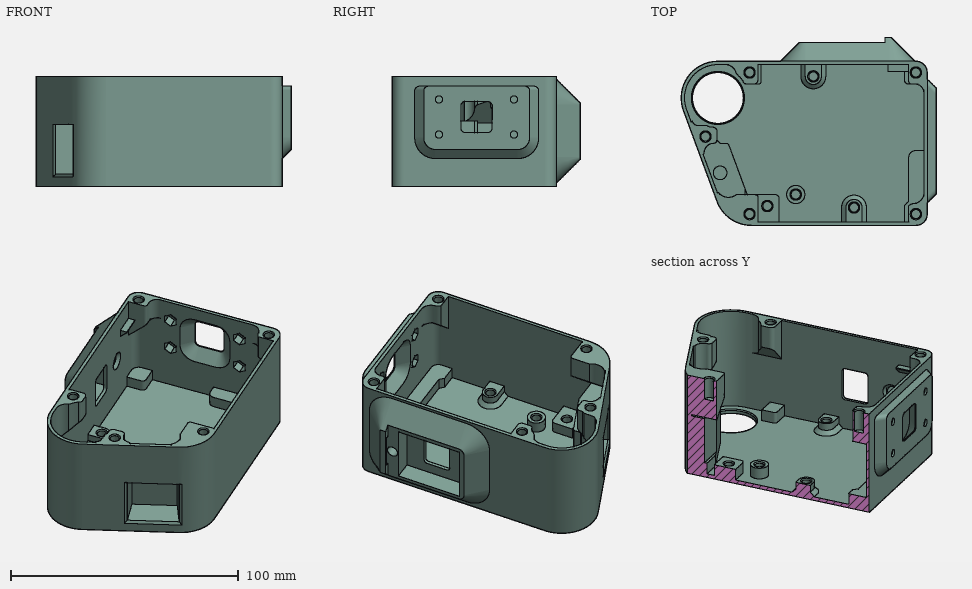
import cadquery as cq
import math

height = 48.4
wall = 1.5
floor = 2.0
opening_d = 22.3
opening_rim_d = 23.3
side_radius = 16.15
corner_radius = 5.0
right = 91.85
depth = 72.1
back = side_radius
front = back - depth
front_arc_x = 14.72
front_arc_y = front + side_radius
inner_radius = side_radius - wall
inner_right = right - wall
inner_back = back - wall
inner_front = front + wall

slant_length = math.hypot(front_arc_x, front_arc_y)
slant_x = front_arc_x / slant_length
slant_y = front_arc_y / slant_length
slant_plane = cq.Plane(origin=(0, 0, 0), xDir=(slant_x, slant_y, 0), normal=(0, 0, 1))

insert_d = 4.0
insert_mouth_d = 5.0
insert_depth = 10.0
lid_back_y = back - corner_radius
lid_front_y = front + corner_radius
lid_left_x = 13.88
lid_right_x = right - corner_radius
slant_lid_hole = (-5.46, -16.95)
lid_holes = [
    (lid_left_x, lid_back_y),
    (lid_right_x, lid_back_y),
    (lid_left_x, lid_front_y),
    (lid_right_x, lid_front_y),
    slant_lid_hole,
]

pad_thickness = 10.4
pad_left_edge = 17.6
pad_right_edge = 83.7
back_pad_y = 6.1
front_pad_y = -42.4
right_front_pad_y = -46.3
pad_round = 1.2
back_left_pad_round = 1.9
back_left_blend_x = 3.1
back_left_blend_middle = (6.5, 13.4)
back_left_blend_end = (8.0, 10.9)
back_left_nose_middle = (11.6, 6.4)
back_left_nose_x = 12.6
opening_clearance = 13.3
clearance_start = 50
clearance_end = 34
pad_blend = 3.85
front_right_corner_y = -47.3
front_right_nose_middle = (84.7, -46.65)
front_right_nose_x = 86.0
front_right_blend_middle = (89.1, -44.8)
front_right_blend_y = -41.9
front_left_blend_start = (8.1, front_pad_y)
front_left_blend_middle = (4.4, -43.6)
front_left_blend_end = (0.25, -41.5)
front_left_outer_x = -4.0
slant_pad_reach = 10.0
slant_pad_back_y = -12.06
slant_pad_tip_y = -12.8
slant_pad_x = -0.3
slant_pad_front_y = -19.9

support_height = 5.2
support_top = floor + support_height
post_d = 8.0
post_center = (34.15, -42.35)
boss_radius = 3.55
boss_flare = 1.9
back_boss_center = (41.86, 9.46)
front_boss_center = (59.7, -48.07)
block_hole = (21.7, -47.4)
block_half_width = 5.2
block_round = 1.8
foot_left_x = (12.0, 19.0)
foot_right_x = (81.8, right)
front_foot_y = -45.3
front_foot_bevel = 1.9
shelf_back_y = -23.1
shelf_round = 3.0

recess_bottom = 5.5
recess_top = 27.3
recess_depth = 12.0
recess_middle = 31.15
recess_mouth_width = 22.9
recess_back_width = 19.9
recess_bevel = 1.2
recess_bevel_depth = 0.8
housing_back = -2.65
housing_top = recess_top + wall
housing_bevel = 1.3
housing_outer_x = -side_radius
housing_back_corner_x = 4.2
housing_inner_corner_x = 4.9
housing_end_x = 11.8
housing_foot_x = 13.0
wire_hole_d = 6.0
wire_hole_across = -10.5

back_mount_x = (27.4, 86.5)
back_mount_z = (1.6, 47.1)
back_mount_radius = 11.2
back_mount_height = 10.4
back_mount_step = 2.15
back_mount_step_x = 73.2
slot_z = (16.5, 32.4)
slot_height = 1.1
slot_depth = 3.0
slot_round = 2.9
window_x = (47.0, 59.5)
window_z = (16.2, 31.4)
window_round = 1.4
plug_space_x = (38.0, 68.0)
plug_space_z = (11.4, 37.0)
back_screw = (70.9, 24.4)
back_screw_d = 5.0
back_screw_head_d = 8.0

right_mount_y = (-46.1, 8.3)
right_mount_z = (12.3, 44.2)
right_mount_radius = 9.1
right_mount_height = 4.0
right_mount_round = 2.0
socket_y = -19.0
socket_z = 30.55
socket_size = 23.7
socket_round = 7.0
socket_bevel = 5.0
nut_spacing_y = 32.9
nut_spacing_z = 15.4
nut_across_flats = 5.5
nut_depth = 4.5
nut_screw_d = 3.2

ledge_left = 74.6
ledge_reach = 3.1
ledge_top = 39.0
ledge_lip = 0.4


def span(limits):
    return limits[1] - limits[0]


def middle(limits):
    return (limits[0] + limits[1]) / 2


def block(x, y, z):
    """Box given by its limits along X, Y and Z."""
    return cq.Workplane().box(span(x), span(y), span(z)).translate((middle(x), middle(y), middle(z)))


def outline_prism(inset=0.0):
    """Full-height solid with the outer outline of the box, moved inwards by `inset`."""
    radius = side_radius - inset
    tangent_x = radius * slant_y
    tangent_y = -radius * slant_x
    turn = math.asin(slant_x)
    quarter = math.radians(90)
    back_mid = quarter + (quarter + turn) / 2
    front_mid = 2 * quarter + turn + (quarter - turn) / 2
    return (
        cq.Workplane()
        .moveTo(0, back - inset)
        .threePointArc((radius * math.cos(back_mid), radius * math.sin(back_mid)), (tangent_x, tangent_y))
        .lineTo(front_arc_x + tangent_x, front_arc_y + tangent_y)
        .threePointArc(
            (front_arc_x + radius * math.cos(front_mid), front_arc_y + radius * math.sin(front_mid)),
            (front_arc_x, front + inset),
        )
        .lineTo(right - inset, front + inset)
        .lineTo(right - inset, back - inset)
        .close()
        .extrude(height)
        .edges("|Z and >X")
        .fillet(corner_radius - inset)
    )


def gusset(plan, plane, reach, side):
    """Pad hanging from a wall: the plan extruded, above a 45 degree underside.

    `plane` has its local x along the wall and local y across it; the wall's
    inner face is at local y = side, and the pad reaches inwards from there.
    """
    inward = -math.copysign(1, side)
    tip = side + inward * reach
    end = tip + inward * right
    root = side - inward * wall
    tip_z = height - pad_thickness
    section = cq.Plane(origin=plane.origin, xDir=plane.yDir, normal=plane.xDir)
    kept = (
        cq.Workplane(section)
        .polyline([(end, height), (end, tip_z), (tip, tip_z), (root, tip_z - reach - wall), (root, height)])
        .close()
        .extrude(2 * right, both=True)
    )
    return plan.extrude(height).intersect(kept)


def around_opening(angle):
    """Point on the edge that the back-left pad keeps clear of the large opening."""
    turn = math.radians(angle)
    return (opening_clearance * math.cos(turn), opening_clearance * math.sin(turn))


def back_left_pad():
    plan = (
        cq.Workplane()
        .moveTo(back_left_blend_x, back)
        .lineTo(back_left_blend_x, inner_back)
        .threePointArc(back_left_blend_middle, back_left_blend_end)
        .lineTo(*around_opening(clearance_start))
        .threePointArc(
            around_opening((clearance_start + clearance_end) / 2), around_opening(clearance_end)
        )
        .threePointArc(back_left_nose_middle, (back_left_nose_x, back_pad_y))
        .lineTo(pad_left_edge - back_left_pad_round, back_pad_y)
        .radiusArc((pad_left_edge, back_pad_y + back_left_pad_round), -back_left_pad_round)
        .lineTo(pad_left_edge, back)
        .close()
    )
    return gusset(plan, cq.Plane.XY(), inner_back - back_pad_y, inner_back)


def back_right_pad():
    plan = (
        cq.Workplane()
        .moveTo(pad_right_edge, back)
        .lineTo(pad_right_edge, back_pad_y + pad_round)
        .radiusArc((pad_right_edge + pad_round, back_pad_y), -pad_round)
        .lineTo(inner_right - pad_blend, back_pad_y)
        .radiusArc((inner_right, back_pad_y - pad_blend), pad_blend)
        .lineTo(right, back_pad_y - pad_blend)
        .lineTo(right, back)
        .close()
    )
    return gusset(plan, cq.Plane.XY(), inner_back - back_pad_y, inner_back)


def front_right_pad():
    plan = (
        cq.Workplane()
        .moveTo(pad_right_edge, front)
        .lineTo(pad_right_edge, front_right_corner_y)
        .threePointArc(front_right_nose_middle, (front_right_nose_x, right_front_pad_y))
        .threePointArc(front_right_blend_middle, (inner_right, front_right_blend_y))
        .lineTo(right, front_right_blend_y)
        .lineTo(right, front)
        .close()
    )
    return gusset(plan, cq.Plane.XY(), right_front_pad_y - inner_front, inner_front)


def front_left_pad():
    plan = (
        cq.Workplane()
        .moveTo(pad_left_edge, front)
        .lineTo(pad_left_edge, front_pad_y - pad_round)
        .radiusArc((pad_left_edge - pad_round, front_pad_y), -pad_round)
        .lineTo(*front_left_blend_start)
        .threePointArc(front_left_blend_middle, front_left_blend_end)
        .lineTo(front_left_outer_x, front_pad_y)
        .lineTo(front_left_outer_x, front)
        .close()
    )
    return gusset(plan, cq.Plane.XY(), front_pad_y - inner_front, inner_front)


def slant_pad():
    back_blend_start = (-11.2, -10.2)
    back_blend_middle = (-10.4, -11.5)
    back_blend_end = (-8.9, slant_pad_back_y)
    step_start = (-4.9, slant_pad_back_y)
    step_end = (-3.6, slant_pad_tip_y)
    rounding_x = -2.2
    corner_middle_x = -0.9
    back_corner_middle = (corner_middle_x, -13.4)
    back_corner_end = (slant_pad_x, -14.7)
    front_corner_start = (slant_pad_x, -18.6)
    front_corner_middle = (corner_middle_x, -19.5)
    front_blend_middle = (-4.9, -21.2)
    front_blend_end = (-6.0, -24.2)
    front_wall_point = (-7.5, -26.5)
    back_wall_point = (-13.0, -11.5)
    plan = (
        cq.Workplane()
        .moveTo(*back_blend_start)
        .threePointArc(back_blend_middle, back_blend_end)
        .lineTo(*step_start)
        .lineTo(*step_end)
        .lineTo(rounding_x, slant_pad_tip_y)
        .threePointArc(back_corner_middle, back_corner_end)
        .lineTo(*front_corner_start)
        .threePointArc(front_corner_middle, (rounding_x, slant_pad_front_y))
        .threePointArc(front_blend_middle, front_blend_end)
        .lineTo(*front_wall_point)
        .lineTo(*back_wall_point)
        .close()
    )
    return gusset(plan, slant_plane, slant_pad_reach, -inner_radius)


def wall_boss(center, wall_y):
    """Standoff joined to a wall, flaring out at 45 degrees where it meets the floor."""
    x, y = center
    into_wall = wall_y - y + math.copysign(boss_flare, wall_y - y)
    side = math.copysign(1, into_wall)

    def layer(radius, rise, draft):
        return (
            cq.Workplane(origin=(x, y, floor))
            .moveTo(-radius, 0)
            .threePointArc((0, -side * radius), (radius, 0))
            .lineTo(radius, into_wall)
            .lineTo(-radius, into_wall)
            .close()
            .extrude(rise, taper=draft)
        )

    return layer(boss_radius, support_height, 0).union(layer(boss_radius + boss_flare, boss_flare, 45))


def floor_supports():
    block_left = block_hole[0] - block_half_width
    block_right = block_hole[0] + block_half_width
    screw_block = block((block_left, block_right), (front, front_pad_y), (0, support_top))
    screw_block = screw_block.edges("|Z and >X and >Y").fillet(block_round)
    back_left = block(foot_left_x, (back_pad_y, back), (0, support_top))
    back_left = back_left.edges("|Z and >X and <Y").fillet(pad_round)
    back_right = block(foot_right_x, (back_pad_y, back), (0, support_top))
    back_right = back_right.edges("|Z and <X and <Y").fillet(block_round)
    front_right = block(foot_right_x, (front, front_foot_y), (0, support_top))
    front_right = front_right.edges("|Z and <X and >Y").chamfer(front_foot_bevel)
    shelf = block((pad_right_edge, right), (front, shelf_back_y), (0, support_top))
    shelf = shelf.edges("|Z and <X and >Y").fillet(shelf_round)
    post = cq.Workplane().center(*post_center).circle(post_d / 2).extrude(support_top)
    supports = screw_block
    for part in (back_left, back_right, front_right, shelf, post):
        supports = supports.union(part)
    supports = supports.union(wall_boss(back_boss_center, back))
    return supports.union(wall_boss(front_boss_center, front))


def switch_housing():
    """Solid block behind the slanted wall that the switch recess is cut into."""
    def behind_wall(x):
        """Y of the housing's inner face at the given X."""
        return (housing_back + slant_y * x) / slant_x

    plan = [
        (housing_outer_x, slant_pad_front_y + housing_bevel),
        (slant_pad_x, slant_pad_front_y + housing_bevel),
        (slant_pad_x + housing_bevel, slant_pad_front_y),
        (housing_back_corner_x, slant_pad_front_y),
        (housing_inner_corner_x, behind_wall(housing_inner_corner_x)),
        (housing_end_x, behind_wall(housing_end_x)),
        (housing_end_x, front),
        (housing_outer_x, front),
    ]
    housing = cq.Workplane().polyline(plan).close().extrude(housing_top)
    foot_plan = [
        (housing_end_x, behind_wall(housing_end_x)),
        (housing_foot_x, behind_wall(housing_foot_x)),
        (housing_foot_x, front),
        (housing_end_x, front),
    ]
    foot = cq.Workplane().polyline(foot_plan).close().extrude(support_top)
    return housing.union(foot)


def wedge_ledge():
    tip = inner_back - ledge_reach
    root = ledge_top - ledge_lip - ledge_reach
    return (
        cq.Workplane("YZ", origin=(ledge_left, 0, 0))
        .polyline([
            (inner_back + wall / 2, ledge_top),
            (tip, ledge_top),
            (tip, ledge_top - ledge_lip),
            (inner_back, root),
            (inner_back + wall / 2, root),
        ])
        .close()
        .extrude(pad_right_edge - ledge_left)
    )


def rounded_rectangle(plane, size_x, size_y, radius):
    sketch = cq.Sketch().rect(size_x, size_y).vertices().fillet(radius)
    return cq.Workplane(plane).placeSketch(sketch)


def back_mount():
    plane = cq.Plane(
        origin=(middle(back_mount_x), back, middle(back_mount_z)), xDir=(1, 0, 0), normal=(0, 1, 0)
    )
    mount = rounded_rectangle(plane, span(back_mount_x), span(back_mount_z), back_mount_radius)
    mount = mount.extrude(back_mount_height, taper=45)
    top = back + back_mount_height
    lower_top = top - back_mount_step
    mount = mount.cut(block((0, back_mount_step_x), (lower_top, top), (0, height)))
    slot_y = (lower_top, lower_top + slot_height)
    slot = block((back_mount_step_x - slot_depth, back_mount_step_x + slot_depth), slot_y, slot_z)
    return mount.cut(slot.edges("|Y and >X").fillet(slot_round))


def right_mount():
    tall = (right_mount_z[0], right_mount_z[1] + 2 * right_mount_radius)
    plane = cq.Plane(origin=(right, middle(right_mount_y), middle(tall)), xDir=(0, 1, 0), normal=(1, 0, 0))
    mount = rounded_rectangle(plane, span(right_mount_y), span(tall), right_mount_radius)
    mount = mount.extrude(right_mount_height, taper=45)
    end = right + right_mount_height
    mount = mount.cut(block((right, end), right_mount_y, (right_mount_z[1], tall[1])))
    return mount.faces(">Z").edges("not |Y").fillet(right_mount_round)


def insert_hole(x, y, top, depth):
    """Blind hole from above with a 45 degree bevel at its mouth."""
    bevel = (insert_mouth_d - insert_d) / 2
    return cq.Workplane("XZ", origin=(x, y, 0)).polyline([
        (0, top),
        (insert_mouth_d / 2, top),
        (insert_d / 2, top - bevel),
        (insert_d / 2, top - depth),
        (0, top - depth),
    ]).close().revolve(360, (0, 0, 0), (0, 1, 0))


def opening():
    bevel = (opening_rim_d - opening_d) / 2
    hole = cq.Workplane().circle(opening_d / 2).extrude(floor)
    rim = cq.Workplane(origin=(0, 0, floor)).circle(opening_rim_d / 2).extrude(-bevel, taper=45)
    return hole.union(rim)


def switch_recess():
    mouth = -side_radius
    half_mouth = recess_mouth_width / 2
    half_back = recess_back_width / 2
    middle_plane = cq.Plane(
        origin=slant_plane.toWorldCoords((recess_middle, mouth, 0)).toTuple(),
        xDir=slant_plane.xDir,
        normal=(0, 0, 1),
    )
    recess = (
        cq.Workplane(middle_plane)
        .workplane(offset=recess_bottom)
        .polyline([
            (-half_mouth, 0),
            (half_mouth, 0),
            (half_back, recess_depth),
            (-half_back, recess_depth),
        ])
        .close()
        .extrude(recess_top - recess_bottom)
    )
    depth_plane = cq.Plane(
        origin=middle_plane.origin, xDir=-slant_plane.xDir, normal=slant_plane.yDir
    )
    opening_height = recess_top - recess_bottom
    bevel = (
        cq.Workplane(depth_plane)
        .center(0, (recess_top + recess_bottom - recess_bevel) / 2)
        .rect(recess_mouth_width + 2 * recess_bevel, opening_height + recess_bevel)
        .workplane(offset=recess_bevel_depth)
        .center(0, recess_bevel / 2)
        .rect(recess_mouth_width, opening_height)
        .loft(ruled=True)
    )
    wire_hole = (
        cq.Workplane(slant_plane)
        .center(recess_middle, wire_hole_across)
        .circle(wire_hole_d / 2)
        .extrude(housing_top)
        .intersect(block((-right, right), (front, back), (recess_bottom, housing_top)))
    )
    return recess.union(bevel).union(wire_hole)


def back_openings():
    """Plug space in the mount, with a window and a countersunk screw hole through the wall."""
    end = back + back_mount_height - back_mount_step
    window = block(window_x, (inner_back, end), window_z).edges("|Y").fillet(window_round)
    x, z = back_screw
    radius = back_screw_d / 2
    head_radius = back_screw_head_d / 2
    screw = (
        cq.Workplane(origin=(x, 0, z))
        .polyline([
            (0, inner_back),
            (head_radius, inner_back),
            (radius, inner_back + head_radius - radius),
            (radius, end),
            (0, end),
        ])
        .close()
        .revolve(360, (0, 0, 0), (0, 1, 0))
    )
    plug_space = block(plug_space_x, (back, end), plug_space_z)
    return window.union(screw).union(plug_space)


def right_openings():
    """Bevelled socket window and four nut traps through the right wall and its mount."""
    plane = cq.Plane(origin=(inner_right, socket_y, socket_z), xDir=(0, 1, 0), normal=(1, 0, 0))
    through = wall + right_mount_height
    cut = rounded_rectangle(plane, socket_size, socket_size, socket_round)
    cut = cut.extrude(socket_bevel, taper=45)
    exit_size = socket_size - 2 * socket_bevel
    exit_round = socket_round - socket_bevel
    cut = cut.union(rounded_rectangle(plane, exit_size, exit_size, exit_round).extrude(through))
    nut_across_corners = nut_across_flats / math.cos(math.radians(30))
    corners = cq.Workplane(plane).rect(nut_spacing_y, nut_spacing_z, forConstruction=True).vertices()
    screws = corners.circle(nut_screw_d / 2).extrude(through)
    for y in (-nut_spacing_y / 2, nut_spacing_y / 2):
        for z in (-nut_spacing_z / 2, nut_spacing_z / 2):
            nut = (
                cq.Workplane(plane)
                .center(y, z)
                .transformed(rotate=(0, 0, 90))
                .polygon(6, nut_across_corners)
                .extrude(nut_depth)
            )
            cut = cut.union(nut)
    return cut.union(screws)


outline = outline_prism()
body = outline.cut(outline_prism(wall).translate((0, 0, floor)))

inside = floor_supports().union(switch_housing()).union(wedge_ledge())
for pad in (back_left_pad(), back_right_pad(), front_right_pad(), front_left_pad(), slant_pad()):
    inside = inside.union(pad)
body = body.union(inside.intersect(outline))

body = body.union(back_mount()).union(right_mount())

for hole_x, hole_y in lid_holes:
    body = body.cut(insert_hole(hole_x, hole_y, height, insert_depth))
for hole_x, hole_y in (back_boss_center, front_boss_center, block_hole, post_center):
    body = body.cut(insert_hole(hole_x, hole_y, support_top, support_height))
for opening_cut in (opening(), switch_recess(), back_openings(), right_openings()):
    body = body.cut(opening_cut)

result = body